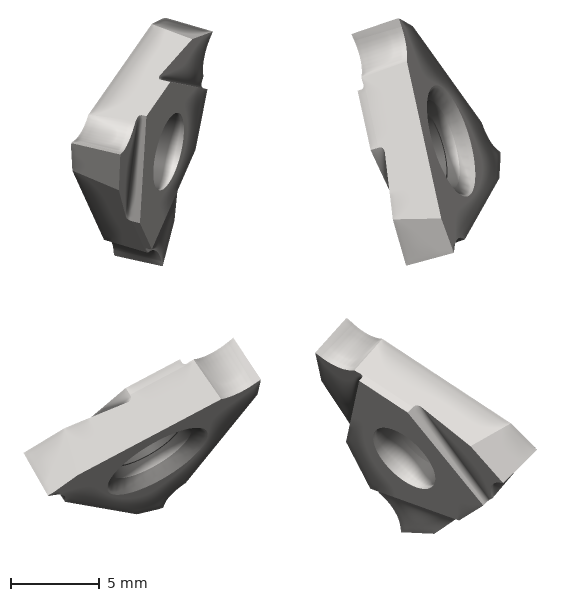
import math

import cadquery as cq


thickness = 3.18
rear_inradius = 4.718
side_relief = 4.25
relief_depth = 2.70
corner_angles = (30, 150, 270)

countersink_radius = 3.26
countersink_depth = 0.68
seat_radius = 2.60
ledge_radius = 2.40
ledge_depth = 1.33
bore_radius = 2.25

tip_radius = 7.97
tip_angle = 147.36
rake_angle = -19.0
rake_length = 0.52
chip_groove_radius = 2.15
groove_exit_angle = -30.0
flank_angle = -84.0
flank_relief = 2.0

break_along_rake = 0.07
break_along_flank = 0.33
break_depth = 0.05

wall_top_y = -3.26
wall_foot_y = 0.25
tip_rear_x = 2.99
floor_slope_y = -0.08
floor_slope_z = 0.068
wall_fillet = 0.20

tip_count = 3
tip_spacing = 360 / tip_count
reach = 12.0


def direction(angle):
    """Unit vector (y, z) in the YZ plane."""
    return math.cos(math.radians(angle)), math.sin(math.radians(angle))


def along(point, angle, distance):
    """Point (y, z) moved a distance at an angle."""
    dy, dz = direction(angle)
    return point[0] + distance * dy, point[1] + distance * dz


tip = along((0, 0), tip_angle, tip_radius)


def body():
    """Triangle with one side facing +Z: a tapered front part and a straight rear band."""
    front_inradius = rear_inradius - relief_depth * math.tan(math.radians(side_relief))

    def corners(inradius):
        return [along((0, 0), angle, 2 * inradius) for angle in corner_angles]

    front = cq.Workplane("YZ").polyline(corners(front_inradius)).close()
    middle = front.workplane(offset=relief_depth).polyline(corners(rear_inradius)).close()
    tapered = middle.loft(ruled=True)
    band_start = cq.Workplane("YZ", origin=(relief_depth, 0, 0))
    band = band_start.polyline(corners(rear_inradius)).close().extrude(thickness - relief_depth)
    return tapered.union(band)


def screw_hole():
    profile = [
        (0, 0),
        (0, -countersink_radius),
        (countersink_depth, -seat_radius),
        (ledge_depth, -ledge_radius),
        (ledge_depth, -bore_radius),
        (thickness, -bore_radius),
        (thickness, 0),
    ]
    return cq.Workplane("XZ").polyline(profile).close().revolve(360, (0, 0, 0), (1, 0, 0))


def chip_groove():
    """Concave groove above the tip, with a straight rake land tangent to its arc."""
    land_end = along(tip, rake_angle, rake_length)
    center = along(land_end, rake_angle + 90, chip_groove_radius)
    middle_angle = (rake_angle - 90 + groove_exit_angle) / 2
    arc_middle = along(center, middle_angle, chip_groove_radius)
    arc_end = along(center, groove_exit_angle, chip_groove_radius)
    outer = along(tip, rake_angle, -rake_length)
    return (
        cq.Workplane("YZ")
        .moveTo(*outer)
        .lineTo(*land_end)
        .threePointArc(arc_middle, arc_end)
        .lineTo(arc_end[0], reach)
        .lineTo(outer[0], reach)
        .close()
        .extrude(thickness)
    )


def flank():
    """Everything outside the flank plane, which falls back from the front face."""
    outward = direction(flank_angle - 90)
    upward = direction(flank_angle + 180)
    plane = cq.Plane(origin=(0, *tip), xDir=(0, *outward), normal=(0, *upward))
    setback = thickness * math.tan(math.radians(flank_relief))
    profile = [(0, 0), (-setback, thickness), (reach, thickness), (reach, 0)]
    return cq.Workplane(plane).polyline(profile).close().extrude(reach, both=True)


def corner_break():
    """Small three-sided pyramid at the front corner of the cutting edge."""
    setback = break_depth * math.tan(math.radians(flank_relief))
    corner = cq.Vector(0, *tip)
    rake_point = cq.Vector(0, *along(tip, rake_angle, break_along_rake))
    flank_point = cq.Vector(0, *along(tip, flank_angle, break_along_flank))
    edge_point = cq.Vector(break_depth, *along(tip, rake_angle, setback))
    triangles = [
        (corner, rake_point, flank_point),
        (corner, rake_point, edge_point),
        (corner, flank_point, edge_point),
        (rake_point, flank_point, edge_point),
    ]
    faces = [cq.Face.makeFromWires(cq.Wire.makePolygon(t, close=True)) for t in triangles]
    return cq.Workplane(cq.Solid.makeSolid(cq.Shell.makeShell(faces)))


def clearance_pocket():
    """Sloped rear pocket beyond the wall, with a fillet where floor and wall meet."""
    wall_top = cq.Vector(0, wall_top_y, rear_inradius)
    foot_radius = math.hypot(wall_foot_y, rear_inradius)
    foot_angle = math.degrees(math.atan2(rear_inradius, wall_foot_y)) + tip_spacing
    wall_foot = cq.Vector(0, *along((0, 0), foot_angle, foot_radius))
    wall_middle = (wall_top + wall_foot) / 2
    wall_run = wall_top - wall_foot
    outward = cq.Vector(1, 0, 0).cross(wall_run)

    wall_plane = cq.Plane(origin=wall_middle, xDir=wall_run, normal=outward)
    outside = cq.Workplane(wall_plane).rect(2 * reach, 2 * reach).extrude(reach)
    floor_normal = cq.Vector(1, -floor_slope_y, -floor_slope_z)
    floor_plane = cq.Plane(origin=(tip_rear_x, *tip), normal=floor_normal)
    above = cq.Workplane(floor_plane).rect(4 * reach, 4 * reach).extrude(reach)
    pocket = outside.intersect(above)
    foot = cq.selectors.NearestToPointSelector((relief_depth, wall_middle.y, wall_middle.z))
    return pocket.edges(foot).fillet(wall_fillet)


result = body().cut(screw_hole())
for cutter in (chip_groove(), flank(), corner_break(), clearance_pocket()):
    for index in range(tip_count):
        result = result.cut(cutter.rotate((0, 0, 0), (1, 0, 0), index * tip_spacing))